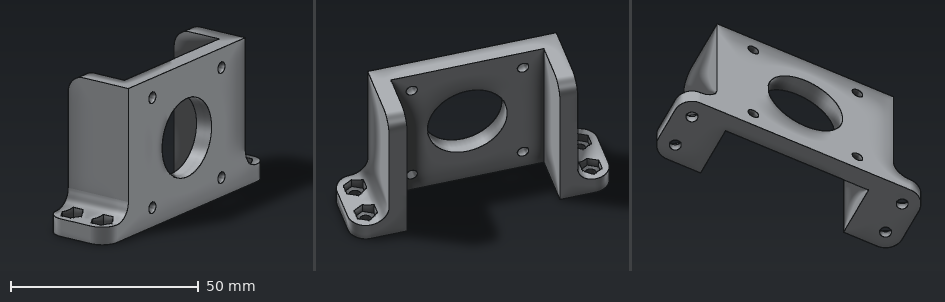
import cadquery as cq

length = 72.5
depth = 20.0
height = 42.0
thickness = 5.0
foot_reach = 10.0

bore_diameter = 22.1
screw_diameter = 3.1
motor_screw_spacing = 30.95

foot_screw_spacing = 10.0
nut_corner_width = 6.4
nut_pocket_depth = 2.5

body_half = length / 2 - foot_reach
inner_width = 2 * (body_half - thickness)
foot_screw_y = length / 2 - foot_reach / 2
motor_axis_z = height / 2
foot_screw_points = [
    (side_x * foot_screw_spacing / 2, side_y * foot_screw_y)
    for side_x in (-1, 1)
    for side_y in (-1, 1)
]


def make_bracket():
    """U-shaped body with feet, blended by concave arcs of one plate thickness."""
    profile = (
        cq.Workplane("YZ")
        .moveTo(-length / 2, 0)
        .lineTo(length / 2, 0)
        .lineTo(length / 2, thickness)
        .lineTo(body_half + thickness, thickness)
        .radiusArc((body_half, 2 * thickness), thickness)
        .lineTo(body_half, height)
        .lineTo(-body_half, height)
        .lineTo(-body_half, 2 * thickness)
        .radiusArc((-body_half - thickness, thickness), thickness)
        .lineTo(-length / 2, thickness)
        .close()
        .extrude(depth / 2, both=True)
    )
    interior = cq.Workplane("XY").box(
        depth - thickness, inner_width, height, centered=(False, True, False)
    ).translate((-depth / 2, 0, 0))
    return profile.cut(interior)


def round_corners(body):
    """Round the vertical foot corners and the free upper side-plate corners."""
    body = body.edges("|Z and (<Y or >Y)").fillet(thickness)
    return body.edges("|Y and <X and >Z").fillet(thickness)


def cut_motor_holes(body):
    """Cut the central bore and the four motor screw holes through the +X plate."""
    plate = cq.Workplane("YZ", origin=(0, 0, motor_axis_z))
    bore = plate.circle(bore_diameter / 2).extrude(depth)
    screws = (
        plate.rect(motor_screw_spacing, motor_screw_spacing, forConstruction=True)
        .vertices()
        .circle(screw_diameter / 2)
        .extrude(depth)
    )
    return body.cut(bore).cut(screws)


def cut_foot_holes(body):
    """Cut foot screw holes and nut pockets, which also clip the concave blends."""
    screws = (
        cq.Workplane("XY").pushPoints(foot_screw_points)
        .circle(screw_diameter / 2).extrude(height)
    )
    pockets = (
        cq.Workplane("XY", origin=(0, 0, thickness - nut_pocket_depth))
        .pushPoints(foot_screw_points)
        .polygon(6, nut_corner_width)
        .extrude(height)
    )
    return body.cut(screws).cut(pockets)


bracket = round_corners(make_bracket())
result = cut_foot_holes(cut_motor_holes(bracket))